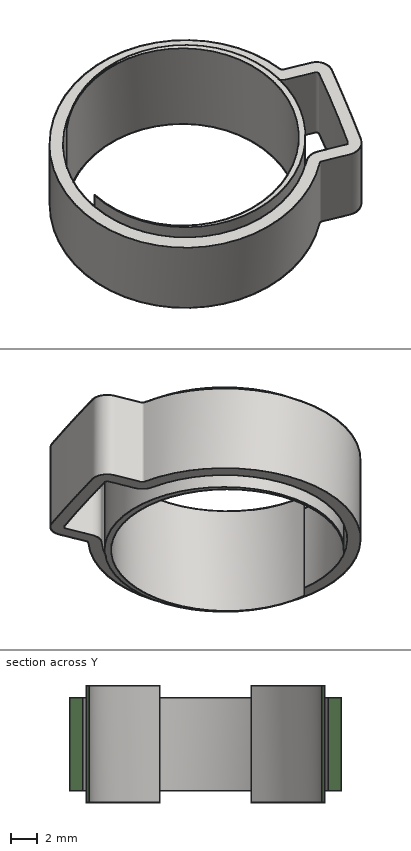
import cadquery as cq
import math


band_diameter = 20.5
band_radius = band_diameter / 2
band_wall = 1.01
band_height = 7.01

overall_depth = 23.0
ear_top = overall_depth - band_radius
ear_width = 9.52
ear_crown = 0.07
ear_tight_radius = 0.23
ear_wide_radius = ear_tight_radius + band_wall

ring_diameter = 18.0
ring_radius = ring_diameter / 2
ring_max_wall = 0.5
ring_height = 8.8
ring_gap_angle = 45.0


def centred_cylinder(radius, height, center_y=0.0):
    return cq.Workplane("XY").center(0, center_y).circle(radius).extrude(height / 2, both=True)


def eared_disc(radius, width, top, corner_radius, neck_radius):
    """Disc with an ear towards +Y, rounded at the ear corners and where the ear meets the disc."""
    half_width = width / 2
    corner_y = top - ear_crown
    neck_y = math.sqrt(radius**2 - half_width**2)
    ear = (
        cq.Workplane("XY")
        .moveTo(-half_width, 0)
        .lineTo(half_width, 0)
        .lineTo(half_width, corner_y)
        .threePointArc((0, top), (-half_width, corner_y))
        .close()
        .extrude(band_height / 2, both=True)
    )
    blank = centred_cylinder(radius, band_height).union(ear)
    for side in (-1, 1):
        corner = cq.selectors.NearestToPointSelector((side * half_width, corner_y, 0))
        blank = blank.edges("|Z").edges(corner).fillet(corner_radius)
        neck = cq.selectors.NearestToPointSelector((side * half_width, neck_y, 0))
        blank = blank.edges("|Z").edges(neck).fillet(neck_radius)
    return blank


def make_band():
    """Closed strip of constant wall that bends outwards into the ear."""
    outside = eared_disc(band_radius, ear_width, ear_top, ear_wide_radius, ear_tight_radius)
    inside = eared_disc(
        band_radius - band_wall,
        ear_width - 2 * band_wall,
        ear_top - band_wall,
        ear_tight_radius,
        ear_wide_radius,
    )
    return outside.cut(inside)


def make_ring():
    """Split ring, thickest under the ear and thinning evenly towards the gap on the -Y side."""
    bore_radius = ring_radius - ring_max_wall / 2
    bore_center_y = -ring_max_wall / 2
    bore = centred_cylinder(bore_radius, ring_height, bore_center_y)

    wedge_depth = 1.5 * ring_radius
    wedge_half_width = wedge_depth * math.tan(math.radians(ring_gap_angle / 2))
    gap = (
        cq.Workplane("XY")
        .polyline([(0, 0), (-wedge_half_width, -wedge_depth), (wedge_half_width, -wedge_depth)])
        .close()
        .extrude(ring_height / 2, both=True)
    )
    return centred_cylinder(ring_radius, ring_height).cut(gap).cut(bore)


band = make_band()
ring = make_ring()

result = cq.Compound.makeCompound([band.solids().val(), ring.solids().val()])